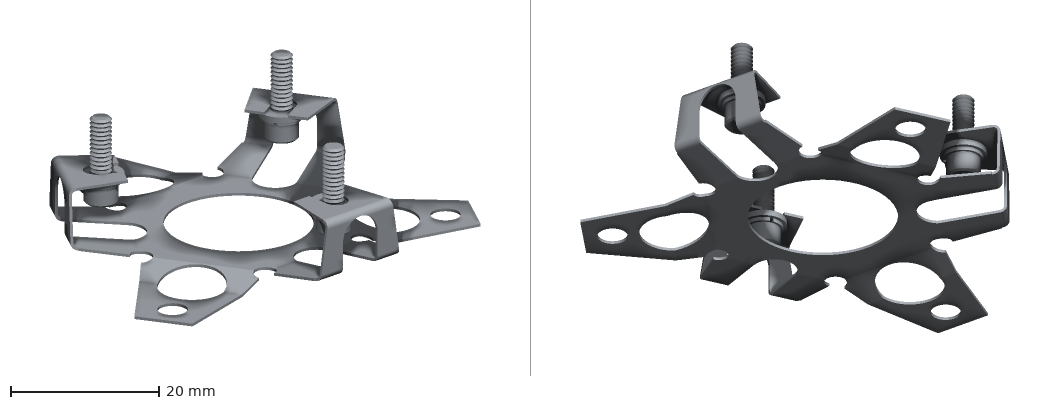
import cadquery as cq
import math

SHEET = 0.4
BEND_RADIUS = 0.65
HUB_SIDES = 6
HUB_APOTHEM = 15.25
HUB_BOTTOM = 1.3
HUB_HOLE_RADIUS = 10.15
RELIEF_RADIUS = 1.6
ARM_OVERLAP = 0.7
HALF_SIDE_ANGLE = 180 / HUB_SIDES
HUB_HALF_SIDE = HUB_APOTHEM * math.tan(math.radians(HALF_SIDE_ANGLE))
ARM_ROOT = HUB_APOTHEM - ARM_OVERLAP
CLEAR_SIZE = 24.2

FOOT_ANGLES = (60, 180, 300)
FOOT_TAPER = 15.1
FOOT_STEP_END = 20.7
FOOT_TIP = 32.5
FOOT_LARGE_HOLE_X = 20.2
FOOT_LARGE_HOLE_RADIUS = 4.7
FOOT_SMALL_HOLE_X = 28.55
FOOT_SMALL_HOLE_RADIUS = 2.05

CLIP_ANGLES = (0, 120, 240)
CLIP_TAPER = 10.0
CLIP_RISE = 8.4
CLIP_WALL_X = 24.65
CLIP_TOP = 11.1
CLIP_FLANGE_END = 16.2
CLIP_WALL_HALF_WIDTH = 7.4
CLIP_FLANGE_ROOT_HALF = 5.8
CLIP_SLOT_HALF_WIDTH = 3.15
CLIP_SLOT_START = 15.85
CLIP_SLOT_ARCH_Z = 7.2
SCREW_SLOT_HALF_WIDTH = 1.7
SCREW_SLOT_END = 19.8

CLIP_BEND_START = CLIP_WALL_X - BEND_RADIUS - SHEET
CLIP_WALL_BOTTOM = HUB_BOTTOM + (CLIP_WALL_X - HUB_APOTHEM) * math.tan(math.radians(CLIP_RISE))
FLANGE_BOTTOM = CLIP_TOP - SHEET

SCREW_RADIAL = 19.05
SCREW_OFFSET = 0.15
FLAT_WASHER_RADIUS = 3.2
FLAT_WASHER_THICKNESS = 0.85
LOCK_WASHER_RADIUS = 2.7
LOCK_WASHER_THICKNESS = 0.55
LOCK_WASHER_GAP = 0.55
HEAD_RADIUS = 2.35
HEAD_HEIGHT = 2.9
HEAD_CHAMFER = 0.3
SCREW_RADIUS = 1.5
THREAD_ROOT_RADIUS = 1.2
THREAD_PITCH = 0.62
THREAD_COUNT = 13
SCREW_TOP = 18.85

FLAT_WASHER_BOTTOM = FLANGE_BOTTOM - FLAT_WASHER_THICKNESS
LOCK_WASHER_BOTTOM = FLAT_WASHER_BOTTOM - LOCK_WASHER_THICKNESS


def place(shape, angle):
    """Turn a shape built along +X to its angle around the hub."""
    return shape.rotate((0, 0, 0), (0, 0, 1), angle)


def folded_strip(path):
    """Wide sheet whose lower or outer face follows an XZ path, with rounded bends."""
    points = [cq.Vector(x, 0, z) for x, z in path]
    directions = [(b - a).normalized() for a, b in zip(points, points[1:])]
    normals = [cq.Vector(-d.z, 0, d.x) for d in directions]
    back = [points[0] + normals[0] * SHEET]
    radii = {}
    for i in range(1, len(points) - 1):
        n1, n2 = normals[i - 1], normals[i]
        mitred = points[i] + (n1 + n2) * (SHEET / (1 + n1.dot(n2)))
        back.append(mitred)
        folds_inward = directions[i - 1].dot(n2) < 0
        radii[points[i].toTuple()] = BEND_RADIUS + (SHEET if folds_inward else 0)
        radii[mitred.toTuple()] = BEND_RADIUS + (0 if folds_inward else SHEET)
    back.append(points[-1] + normals[-1] * SHEET)
    outline = cq.Wire.makePolygon(points + back[::-1], close=True)
    face = cq.Face.makeFromWires(outline)
    for corner, radius in radii.items():
        vertex = min(face.Vertices(), key=lambda v: (v.Center() - cq.Vector(*corner)).Length)
        face = face.fillet2D(radius, [vertex])
    half = CLEAR_SIZE / 2
    solid = cq.Solid.extrudeLinear(face.translate(cq.Vector(0, -half, 0)), cq.Vector(0, 2 * half, 0))
    return cq.Workplane(obj=solid)


def trapezoid(plane, start, start_half, end, end_half):
    """Symmetric tapered outline; the first plane axis is the length."""
    corners = [(start, -start_half), (end, -end_half), (end, end_half), (start, start_half)]
    return cq.Workplane(plane).polyline(corners).close()


def make_foot():
    slope = math.tan(math.radians(FOOT_TAPER))
    strip = folded_strip([
        (ARM_ROOT, HUB_BOTTOM),
        (HUB_APOTHEM, HUB_BOTTOM),
        (FOOT_STEP_END, 0),
        (FOOT_TIP, 0),
    ])
    root_half = HUB_HALF_SIDE + ARM_OVERLAP * slope
    tip_half = HUB_HALF_SIDE - (FOOT_TIP - HUB_APOTHEM) * slope
    outline = trapezoid("XY", ARM_ROOT, root_half, FOOT_TIP, tip_half).extrude(CLEAR_SIZE)
    large = cq.Workplane().center(FOOT_LARGE_HOLE_X, 0).circle(FOOT_LARGE_HOLE_RADIUS).extrude(CLEAR_SIZE)
    small = cq.Workplane().center(FOOT_SMALL_HOLE_X, 0).circle(FOOT_SMALL_HOLE_RADIUS).extrude(CLEAR_SIZE)
    return strip.intersect(outline).cut(large).cut(small)


def clip_outline():
    """Solid that gives the ramp, the wall and the flange their tapered sides."""
    slope = math.tan(math.radians(CLIP_TAPER))
    ramp_length = CLIP_BEND_START - ARM_ROOT
    flange_end_half = CLIP_FLANGE_ROOT_HALF - (CLIP_BEND_START - CLIP_FLANGE_END) * slope
    ramp = trapezoid(
        "XY", ARM_ROOT, CLIP_WALL_HALF_WIDTH + ramp_length * slope, CLIP_BEND_START, CLIP_WALL_HALF_WIDTH
    ).extrude(CLIP_SLOT_ARCH_Z)
    flange = (
        trapezoid("XY", CLIP_FLANGE_END, flange_end_half, CLIP_BEND_START, CLIP_FLANGE_ROOT_HALF)
        .extrude(CLIP_TOP - CLIP_SLOT_ARCH_Z)
        .translate((0, 0, CLIP_SLOT_ARCH_Z))
    )
    wall = (
        trapezoid("ZY", HUB_BOTTOM, CLIP_WALL_HALF_WIDTH, CLIP_TOP, CLIP_FLANGE_ROOT_HALF)
        .extrude(CLIP_BEND_START - CLIP_WALL_X)
        .translate((CLIP_BEND_START, 0, 0))
    )
    return ramp.union(flange).union(wall)


def clip_slot():
    """Slot from the hub, along the ramp and up the wall to a round arch."""
    width = 2 * CLIP_SLOT_HALF_WIDTH
    hub_end = cq.Workplane().center(CLIP_SLOT_START, 0).circle(CLIP_SLOT_HALF_WIDTH).extrude(CLIP_SLOT_ARCH_Z)
    straight = cq.Workplane().box(
        CLIP_WALL_X - CLIP_SLOT_START, width, CLIP_SLOT_ARCH_Z, centered=(False, True, False)
    ).translate((CLIP_SLOT_START, 0, 0))
    arch = (
        cq.Workplane("YZ", origin=(CLIP_BEND_START, 0, CLIP_SLOT_ARCH_Z))
        .circle(CLIP_SLOT_HALF_WIDTH)
        .extrude(CLIP_WALL_X - CLIP_BEND_START)
    )
    return hub_end.union(straight).union(arch)


def screw_slot():
    """Open slot from the free end of the flange."""
    width = 2 * SCREW_SLOT_HALF_WIDTH
    length = SCREW_SLOT_END - CLIP_FLANGE_END
    straight = cq.Workplane().box(length, width, SHEET, centered=(False, True, False))
    slot = straight.union(cq.Workplane().center(length, 0).circle(SCREW_SLOT_HALF_WIDTH).extrude(SHEET))
    return slot.translate((CLIP_FLANGE_END, 0, FLANGE_BOTTOM))


def make_clip():
    strip = folded_strip([
        (ARM_ROOT, HUB_BOTTOM),
        (HUB_APOTHEM, HUB_BOTTOM),
        (CLIP_WALL_X, CLIP_WALL_BOTTOM),
        (CLIP_WALL_X, CLIP_TOP),
        (CLIP_FLANGE_END, CLIP_TOP),
    ])
    return strip.intersect(clip_outline()).cut(screw_slot())


def make_bracket():
    flat_apothem = HUB_APOTHEM - ARM_OVERLAP / 2
    corner_radius = HUB_APOTHEM / math.cos(math.radians(HALF_SIDE_ANGLE))
    hub = (
        cq.Workplane(origin=(0, 0, HUB_BOTTOM))
        .polygon(HUB_SIDES, 2 * flat_apothem, circumscribed=True)
        .extrude(SHEET)
    )
    foot = make_foot()
    clip = make_clip()
    for angle in FOOT_ANGLES:
        hub = hub.union(place(foot, angle))
    for angle in CLIP_ANGLES:
        hub = hub.union(place(clip, angle))
    for angle in CLIP_ANGLES:
        hub = hub.cut(place(clip_slot(), angle))
    centre_hole = cq.Workplane().circle(HUB_HOLE_RADIUS).extrude(CLEAR_SIZE)
    reliefs = (
        cq.Workplane()
        .polarArray(corner_radius, HALF_SIDE_ANGLE, 360, HUB_SIDES)
        .circle(RELIEF_RADIUS)
        .extrude(CLEAR_SIZE)
    )
    return hub.cut(centre_hole).cut(reliefs)


def make_washer(radius, thickness, bottom):
    return cq.Workplane(origin=(0, 0, bottom)).circle(radius).circle(SCREW_RADIUS).extrude(thickness)


def make_flat_washer():
    return make_washer(FLAT_WASHER_RADIUS, FLAT_WASHER_THICKNESS, FLAT_WASHER_BOTTOM)


def make_lock_washer():
    """Split ring whose gap faces the hub centre."""
    gap = cq.Workplane(origin=(0, 0, LOCK_WASHER_BOTTOM)).box(
        LOCK_WASHER_RADIUS, LOCK_WASHER_GAP, LOCK_WASHER_THICKNESS, centered=(False, True, False)
    ).translate((-LOCK_WASHER_RADIUS, 0, 0))
    return make_washer(LOCK_WASHER_RADIUS, LOCK_WASHER_THICKNESS, LOCK_WASHER_BOTTOM).cut(gap)


def make_screw():
    """Cap screw pointing up, its thread made of V-shaped rings above the washers."""
    head_bottom = LOCK_WASHER_BOTTOM - HEAD_HEIGHT
    thread_start = SCREW_TOP - THREAD_COUNT * THREAD_PITCH
    outline = [
        (0, head_bottom),
        (HEAD_RADIUS - HEAD_CHAMFER, head_bottom),
        (HEAD_RADIUS, head_bottom + HEAD_CHAMFER),
        (HEAD_RADIUS, LOCK_WASHER_BOTTOM),
        (SCREW_RADIUS, LOCK_WASHER_BOTTOM),
        (SCREW_RADIUS, thread_start - THREAD_PITCH / 2),
    ]
    for ring in range(THREAD_COUNT):
        root_z = thread_start + ring * THREAD_PITCH
        outline.append((THREAD_ROOT_RADIUS, root_z))
        outline.append((SCREW_RADIUS, root_z + THREAD_PITCH / 2))
    outline.append((THREAD_ROOT_RADIUS, SCREW_TOP))
    outline.append((0, SCREW_TOP))
    return cq.Workplane("XZ").polyline(outline).close().revolve(360, (0, 0, 0), (0, 1, 0))


def one_per_clip(body):
    """Copies of a body on the screw axis of each clip."""
    on_axis = body.translate((SCREW_RADIAL, SCREW_OFFSET, 0))
    return [place(on_axis, angle).val() for angle in CLIP_ANGLES]


bracket = make_bracket()
flat_washers = one_per_clip(make_flat_washer())
lock_washers = one_per_clip(make_lock_washer())
screws = one_per_clip(make_screw())

result = cq.Compound.makeCompound([bracket.val(), *flat_washers, *lock_washers, *screws])